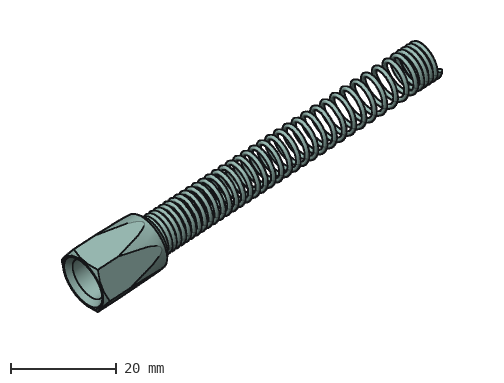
import cadquery as cq
import math

overall_length = 86.55

across_flats = 12.0
across_corners = across_flats / math.cos(math.pi / 6)
mouth_face_diameter = 11.7
mouth_chamfer_angle = math.radians(30)
nut_length = 17.0
taper_start = 5.8
shoulder_diameter = 11.9
back_chamfer = 1.0
bore_diameter = 8.7
mouth_diameter = 11.0
countersink_depth = 1.1
back_wall = 2.6
through_hole_diameter = 6.4

wire_diameter = 0.95
spring_outer_diameter = 8.65
closed_turns = 4
opening_turns = 2
working_turns = 32
closed_pitch = 1.1
widest_pitch = 2.8

wire_radius = wire_diameter / 2
coil_radius = (spring_outer_diameter - wire_diameter) / 2
total_turns = closed_turns + opening_turns + working_turns
spring_points_per_turn = 12

closed_length = closed_turns * closed_pitch
opening_length = opening_turns * (closed_pitch + widest_pitch) / 2

spring_length = overall_length - nut_length
working_length = spring_length - wire_diameter - closed_length - opening_length
seat_pitch = 2 * working_length / working_turns - widest_pitch


def ramp_length(turns, ramp_turns, first_pitch, last_pitch):
    """Axial advance after some turns of a stretch whose pitch changes evenly."""
    pitch_change = (last_pitch - first_pitch) / ramp_turns
    return turns * first_pitch + pitch_change * turns**2 / 2


def coil_advance(turns):
    """Axial distance from the free end of the wire after a number of turns."""
    if turns <= closed_turns:
        return turns * closed_pitch
    turns -= closed_turns
    if turns <= opening_turns:
        return closed_length + ramp_length(turns, opening_turns, closed_pitch, widest_pitch)
    turns -= opening_turns
    return closed_length + opening_length + ramp_length(turns, working_turns, widest_pitch, seat_pitch)


def coil_pitch(turns):
    """Axial advance per turn at a place along the wire."""
    if turns <= closed_turns:
        return closed_pitch
    turns -= closed_turns
    if turns <= opening_turns:
        return closed_pitch + (widest_pitch - closed_pitch) * turns / opening_turns
    turns -= opening_turns
    return widest_pitch + (seat_pitch - widest_pitch) * turns / working_turns


def coil_point(turns):
    """Point on the wire's centre line; the wire ends on the +X side and first passes below the axis."""
    angle = 2 * math.pi * turns
    y = overall_length - wire_radius - coil_advance(turns)
    return cq.Vector(coil_radius * math.cos(angle), y, -coil_radius * math.sin(angle))


def coil_direction(turns):
    """Derivative of the centre line with respect to turns."""
    angle = 2 * math.pi * turns
    speed = 2 * math.pi * coil_radius
    return cq.Vector(-speed * math.sin(angle), -coil_pitch(turns), -speed * math.cos(angle))


def coil_turn(first):
    """Centre line of one full turn, as a spline whose parameter counts turns."""
    turns = [first + i / spring_points_per_turn for i in range(spring_points_per_turn + 1)]
    return cq.Edge.makeSpline(
        [coil_point(turn) for turn in turns],
        tangents=[coil_direction(first), coil_direction(first + 1)],
        parameters=turns,
        scale=False,
    )


def make_spring():
    path = cq.Wire.assembleEdges([coil_turn(turn) for turn in range(total_turns)])
    section_plane = cq.Plane(origin=coil_point(0), xDir=(1, 0, 0), normal=coil_direction(0))
    section = cq.Workplane(section_plane).circle(wire_radius)
    return section.sweep(cq.Workplane(path), isFrenet=True)


def revolve_about_y(outline):
    return cq.Workplane("XY").polyline(outline).close().revolve(360, (0, 0), (0, 1))


def nut_envelope():
    """Turned outside: mouth chamfer, straight stretch, taper to the shoulder, back chamfer."""
    corner_radius = across_corners / 2
    face_radius = mouth_face_diameter / 2
    shoulder_radius = shoulder_diameter / 2
    chamfer_length = (corner_radius - face_radius) * math.tan(mouth_chamfer_angle)
    return revolve_about_y([
        (0, 0),
        (face_radius, 0),
        (corner_radius, chamfer_length),
        (corner_radius, taper_start),
        (shoulder_radius, nut_length - back_chamfer),
        (shoulder_radius - back_chamfer, nut_length),
        (0, nut_length),
    ])


def nut_bore():
    """Countersunk bore from the mouth and a smaller hole through the back wall."""
    bore_radius = bore_diameter / 2
    hole_radius = through_hole_diameter / 2
    floor = nut_length - back_wall
    return revolve_about_y([
        (0, 0),
        (mouth_diameter / 2, 0),
        (bore_radius, countersink_depth),
        (bore_radius, floor),
        (hole_radius, floor),
        (hole_radius, nut_length),
        (0, nut_length),
    ])


def make_nut():
    hexagon = cq.Workplane("XZ").polygon(6, across_corners).extrude(-nut_length)
    return hexagon.intersect(nut_envelope()).cut(nut_bore())


nut = make_nut()
spring = make_spring()

result = cq.Compound.makeCompound([nut.val(), spring.val()])